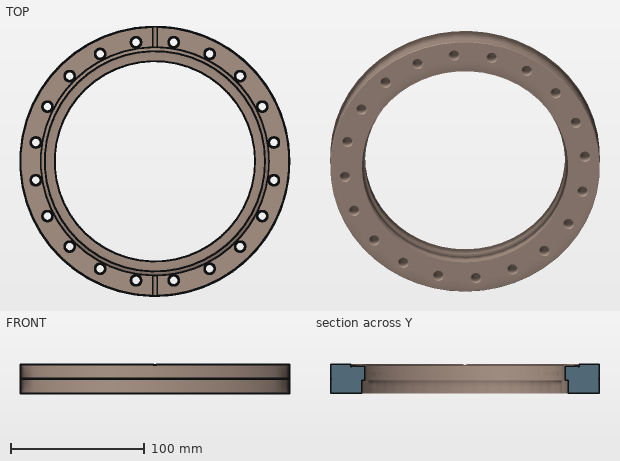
import cadquery as cq

outer_diameter = 202.5
height = 22.3
bore_diameter = 150.2
bore_chamfer = 0.2
rim_chamfer = 0.5

socket_diameter = 154.9
socket_depth = 10.0

recess_diameter = 171.5
knife_diameter = 165.5
seat_diameter = 165.2
recess_wall_depth = 1.8
knife_depth = 0.8
seat_depth = 1.5

groove_width = 0.8
groove_depth = 0.5

hole_count = 20
hole_diameter = 6.9
hole_mouth_diameter = 8.3
bolt_circle_diameter = 181.0

leak_groove_width = 3.5
leak_groove_depth = 0.6


def ring_body():
    """Revolve the half section of the flange about Z."""
    outer = outer_diameter / 2
    bore = bore_diameter / 2
    socket = socket_diameter / 2
    knife = knife_diameter / 2
    seat = seat_diameter / 2
    recess = recess_diameter / 2
    middle = height / 2
    section = [
        (socket, 0),
        (outer - rim_chamfer, 0),
        (outer, rim_chamfer),
        (outer, middle - groove_width / 2),
        (outer - groove_depth, middle),
        (outer, middle + groove_width / 2),
        (outer, height - rim_chamfer),
        (outer - rim_chamfer, height),
        (recess, height),
        (recess, height - recess_wall_depth),
        (knife, height - knife_depth),
        (seat, height - seat_depth),
        (bore + bore_chamfer, height - seat_depth),
        (bore, height - seat_depth - bore_chamfer),
        (bore, socket_depth),
        (socket, socket_depth),
    ]
    return cq.Workplane("XZ").polyline(section).close().revolve(360, (0, 0), (0, 1))


def bolt_hole_cutters():
    """Through holes with a 45 degree countersink at both ends."""
    mouth_depth = (hole_mouth_diameter - hole_diameter) / 2
    hole = hole_diameter / 2
    mouth = hole_mouth_diameter / 2
    section = [
        (0, 0),
        (mouth, 0),
        (hole, mouth_depth),
        (hole, height - mouth_depth),
        (mouth, height),
        (0, height),
    ]
    cutter = cq.Workplane("XZ").polyline(section).close().revolve(360, (0, 0), (0, 1)).val()
    pitch_angle = 360 / hole_count
    return (
        cq.Workplane("XY")
        .polarArray(bolt_circle_diameter / 2, pitch_angle / 2, 360, hole_count)
        .eachpoint(lambda place: cutter.moved(place))
    )


def leak_groove_cutter():
    """Round-bottomed groove along Y, clear of the metal inside the recess."""
    half_width = leak_groove_width / 2
    radius = (half_width**2 + leak_groove_depth**2) / (2 * leak_groove_depth)
    rod = (
        cq.Workplane("XZ")
        .center(0, height - leak_groove_depth + radius)
        .circle(radius)
        .extrude(outer_diameter / 2 + 2, both=True)
    )
    inside = cq.Workplane("XY").circle(recess_diameter / 2).extrude(2 * height)
    return rod.cut(inside)


result = ring_body().cut(bolt_hole_cutters()).cut(leak_groove_cutter())